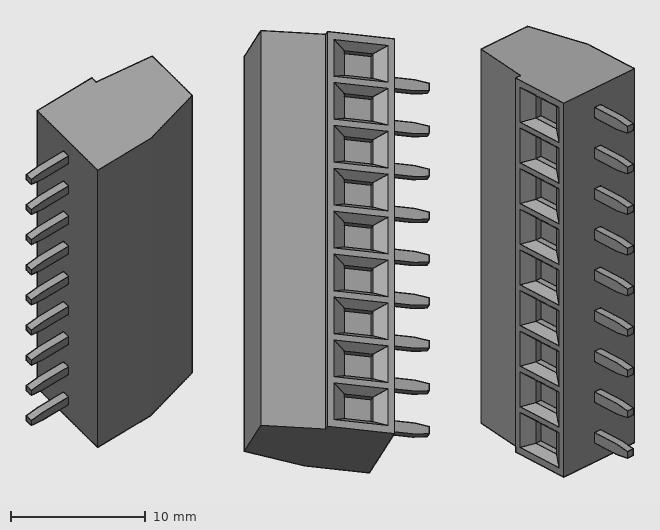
import cadquery as cq

pole_count = 9
length = 32.2
end_margin = 0.35
pitch = (length - 2 * end_margin) / pole_count

width = 7.3
depth = 9.98
entry_block_depth = 5.15
step_width = 0.5
back_wall_depth = 5.0
crown_left = 1.1
crown_right = 5.92

entry_center_y = 2.58
mouth_width = 4.15
mouth_height = 3.0
throat_width = 2.2
throat_height = 2.0
funnel_depth = 0.68
well_depth = 0.5

pin_left = 3.2
pin_thickness = 0.6
pin_height = 0.9
pin_length = 3.5
pin_tip_height = 0.58
pin_taper_length = 1.13


def make_housing():
    outline = [
        (0, 0),
        (width, 0),
        (width, back_wall_depth),
        (crown_right, depth),
        (crown_left, depth),
        (step_width, entry_block_depth),
        (0, entry_block_depth),
    ]
    return cq.Workplane("XY").polyline(outline).close().extrude(length)


def make_wire_entry(center_z):
    entry_face = cq.Workplane("YZ", origin=(0, entry_center_y, center_z))
    funnel = (
        entry_face.rect(mouth_width, mouth_height)
        .workplane(offset=funnel_depth)
        .rect(throat_width, throat_height)
        .loft(ruled=True)
    )
    well = (
        entry_face.workplane(offset=funnel_depth)
        .rect(throat_width, throat_height)
        .extrude(well_depth)
    )
    return funnel.union(well)


def make_pin(center_z):
    half_height = pin_height / 2
    half_tip = pin_tip_height / 2
    shoulder_y = pin_taper_length - pin_length
    outline = [
        (0, -half_height),
        (shoulder_y, -half_height),
        (-pin_length, -half_tip),
        (-pin_length, half_tip),
        (shoulder_y, half_height),
        (0, half_height),
    ]
    side = cq.Workplane("YZ", origin=(pin_left, 0, center_z))
    return side.polyline(outline).close().extrude(pin_thickness)


result = make_housing()
for pole in range(pole_count):
    pole_z = end_margin + (pole + 0.5) * pitch
    result = result.cut(make_wire_entry(pole_z))
    result = result.union(make_pin(pole_z))